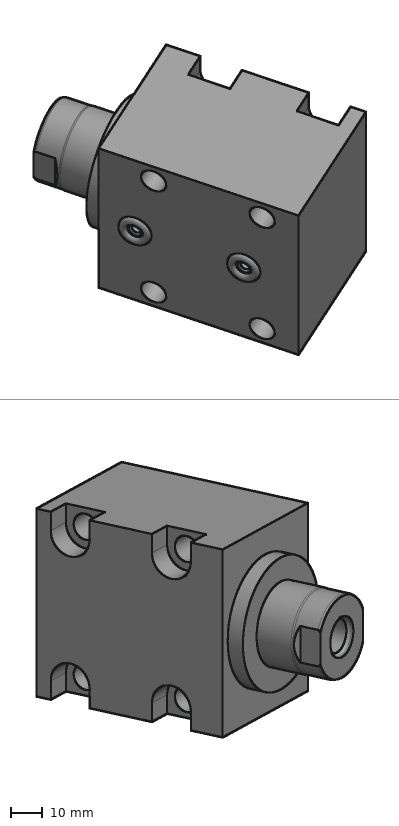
import cadquery as cq

total_length = 98.55
block_length = 69.9
block_depth = 50.5
block_height = 63.5
block_start = total_length - block_length
front_face = -block_depth / 2
back_face = block_depth / 2

flange_diameter = 44.5
flange_start = 23.0
shaft_diameter = 28.4
tip_diameter = 28.1
tip_length = 9.5
shoulder_end = 10.1
tip_chamfer = 0.9
tip_chamfer_depth = 0.3

flats_width = 25.2
flats_length = 7.6

bore_diameter = 11.2
bore_mouth_diameter = 13.6
bore_depth = 19.7
bore_lip_diameter = 13.0
bore_lip_depth = 0.7
bore_taper_end = 1.9

hole_diameter = 8.8
recess_width = 14.6
recess_depth = 9.0
hole_columns = (47.9, 85.8)
hole_offset = 25.3

port_positions = (41.5, 79.5)
ring_diameter = 11.4
ring_height = 1.6
ring_width = 3.0
port_mouth_diameter = 4.6
port_diameter = 3.2
port_depth = 5.9
port_tip_height = 0.9


def along_y(x, z, y, diameter, length):
    """Cylinder running toward +Y from the given start point."""
    return cq.Workplane(cq.Solid.makeCylinder(
        diameter / 2, length, cq.Vector(x, y, z), cq.Vector(0, 1, 0)))


def make_block():
    return cq.Workplane("XY").box(
        block_length, block_depth, block_height, centered=(False, True, True)
    ).translate((block_start, 0, 0))


def make_shaft():
    tip_radius = tip_diameter / 2
    return (
        cq.Workplane("XY")
        .lineTo(0, tip_radius - tip_chamfer_depth)
        .lineTo(tip_chamfer, tip_radius)
        .lineTo(tip_length, tip_radius)
        .lineTo(shoulder_end, shaft_diameter / 2)
        .lineTo(flange_start, shaft_diameter / 2)
        .lineTo(flange_start, flange_diameter / 2)
        .lineTo(block_start, flange_diameter / 2)
        .lineTo(block_start, 0)
        .close()
        .revolve(360, (0, 0, 0), (1, 0, 0))
    )


def make_flat_cutter():
    """Material beside the +Y flat, with its sloped end."""
    inner = flats_width / 2
    outer = shaft_diameter
    return (
        cq.Workplane("XY")
        .moveTo(0, inner)
        .lineTo(flats_length, inner)
        .lineTo(flats_length + outer - inner, outer)
        .lineTo(0, outer)
        .close()
        .extrude(shaft_diameter / 2, both=True)
    )


def make_bore():
    """Blind hole with a steep lip at its mouth and a taper below it."""
    return (
        cq.Workplane("XY")
        .lineTo(0, bore_mouth_diameter / 2)
        .lineTo(bore_lip_depth, bore_lip_diameter / 2)
        .lineTo(bore_taper_end, bore_diameter / 2)
        .lineTo(bore_depth, bore_diameter / 2)
        .lineTo(bore_depth, 0)
        .close()
        .revolve(360, (0, 0, 0), (1, 0, 0))
    )


def make_mounting_cut(x, side):
    """Through hole and its recess, open to the top (side = 1) or bottom (side = -1)."""
    z = side * hole_offset
    recess_start = back_face - recess_depth
    slot = cq.Workplane("XY").box(recess_width, recess_depth, hole_offset).translate(
        (x, recess_start + recess_depth / 2, z + side * hole_offset / 2))
    hole = along_y(x, z, front_face, hole_diameter, block_depth)
    return hole.union(along_y(x, z, recess_start, recess_width, recess_depth)).union(slot)


def make_ring(x):
    """Half-round ring standing on the front face around a port."""
    outer = ring_diameter / 2
    inner = outer - ring_width
    return (
        cq.Workplane("XY")
        .moveTo(x + inner, front_face)
        .threePointArc(
            (x + inner + ring_width / 2, front_face - ring_height),
            (x + outer, front_face))
        .close()
        .revolve(360, (x, 0, 0), (x, 1, 0))
    )


def make_port(x):
    """Blind port hole with a chamfered mouth and a conical bottom."""
    chamfer = (port_mouth_diameter - port_diameter) / 2
    return (
        cq.Workplane("XY")
        .moveTo(x, front_face)
        .lineTo(x + port_mouth_diameter / 2, front_face)
        .lineTo(x + port_diameter / 2, front_face + chamfer)
        .lineTo(x + port_diameter / 2, front_face + port_depth)
        .lineTo(x, front_face + port_depth + port_tip_height)
        .close()
        .revolve(360, (x, 0, 0), (x, 1, 0))
    )


flat_cutter = make_flat_cutter()
shaft = make_shaft().cut(flat_cutter).cut(flat_cutter.mirror("XZ"))
result = make_block().union(shaft).cut(make_bore())

for column in hole_columns:
    for side in (1, -1):
        result = result.cut(make_mounting_cut(column, side))

for position in port_positions:
    result = result.union(make_ring(position)).cut(make_port(position))